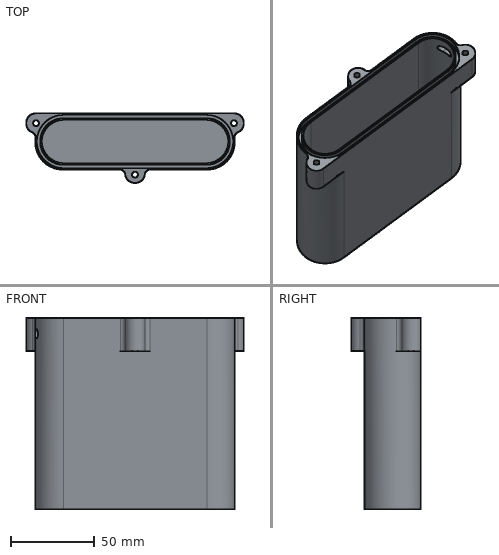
import cadquery as cq
import math

height = 115.0
body_depth = 34.0
body_width = 120.0
end_radius = body_depth / 2
end_center_x = body_width / 2 - end_radius
wall = 4.0
floor = wall

groove_inset = 1.0
groove_width = 2.0
groove_depth = 4.0

overall_width = 130.8
overall_depth = 42.0
lug_radius = 6.0
lug_height = 20.0
lug_blend = 3.0
screw_hole_diameter = 3.4
side_lug_x = overall_width / 2 - lug_radius
side_lug_y = end_radius - lug_radius
front_lug_y = end_radius - overall_depth + lug_radius
front_hole_offset = 0.9

slot_length = 10.0
slot_height = 5.2
slot_center_y = -2.6
slot_below_rim = 9.5


def stadium(inset, z_bottom, z_top):
    """Solid with the body section shrunk inward by inset."""
    return (
        cq.Workplane("XY", origin=(0, 0, z_bottom))
        .slot2D(body_width - 2 * inset, body_depth - 2 * inset)
        .extrude(z_top - z_bottom)
    )


def along(start, end, distance):
    """Point at the given distance from start toward end."""
    span = math.dist(start, end)
    return tuple(a + (b - a) * distance / span for a, b in zip(start, end))


def arc_middle(center, radius, first, second):
    """Middle of the shorter arc between two points on a circle."""
    chord_middle = tuple((a + b) / 2 for a, b in zip(first, second))
    return along(center, chord_middle, radius)


def lug_plane():
    return cq.Workplane("XY", origin=(0, 0, height - lug_height))


def side_lug():
    """Lug at the -X end, flush with the back and blended into the round end."""
    end_center = (-end_center_x, 0)
    lug_center = (-side_lug_x, side_lug_y)

    end_reach = end_radius + lug_blend
    lug_reach = lug_radius + lug_blend
    spacing = math.dist(end_center, lug_center)
    cosine = (end_reach**2 + spacing**2 - lug_reach**2) / (2 * end_reach * spacing)
    lug_angle = math.atan2(side_lug_y, end_center_x - side_lug_x)
    blend_angle = lug_angle + math.acos(cosine)
    blend_center = (
        end_center[0] + end_reach * math.cos(blend_angle),
        end_reach * math.sin(blend_angle),
    )
    on_lug = along(lug_center, blend_center, lug_radius)
    on_end = along(end_center, blend_center, end_radius)
    lug_back = (-side_lug_x, end_radius)
    return (
        lug_plane()
        .moveTo(-end_center_x, end_radius)
        .lineTo(*lug_back)
        .threePointArc((-side_lug_x - lug_radius, side_lug_y), on_lug)
        .threePointArc(arc_middle(blend_center, lug_blend, on_lug, on_end), on_end)
        .lineTo(*end_center)
        .close()
        .extrude(lug_height)
    )


def front_lug():
    """Lug in the middle of the front face, blended into it on both sides."""
    blend_y = -end_radius - lug_blend
    blend_x = math.sqrt((lug_radius + lug_blend) ** 2 - (blend_y - front_lug_y) ** 2)
    lug_center = (0, front_lug_y)
    left_blend = (-blend_x, blend_y)
    right_blend = (blend_x, blend_y)
    left_face = (-blend_x, -end_radius)
    right_face = (blend_x, -end_radius)
    left_lug = along(lug_center, left_blend, lug_radius)
    right_lug = along(lug_center, right_blend, lug_radius)
    root_y = -end_radius + wall / 2
    return (
        lug_plane()
        .moveTo(-blend_x, root_y)
        .lineTo(*left_face)
        .threePointArc(arc_middle(left_blend, lug_blend, left_face, left_lug), left_lug)
        .threePointArc((0, front_lug_y - lug_radius), right_lug)
        .threePointArc(arc_middle(right_blend, lug_blend, right_lug, right_face), right_face)
        .lineTo(blend_x, root_y)
        .close()
        .extrude(lug_height)
    )


def screw_holes():
    centers = [(-side_lug_x, side_lug_y), (side_lug_x, side_lug_y), (0, front_lug_y - front_hole_offset)]
    return lug_plane().pushPoints(centers).circle(screw_hole_diameter / 2).extrude(lug_height)


def seal_groove():
    bottom = height - groove_depth
    outer = stadium(groove_inset, bottom, height)
    return outer.cut(stadium(groove_inset + groove_width, bottom, height))


def cable_slot():
    return (
        cq.Workplane("YZ", origin=(-body_width / 2, slot_center_y, height - slot_below_rim))
        .slot2D(slot_length, slot_height)
        .extrude(end_radius)
    )


left_lug_solid = side_lug()
result = (
    stadium(0, 0, height)
    .union(left_lug_solid)
    .union(left_lug_solid.mirror("YZ"))
    .union(front_lug())
    .cut(stadium(wall, floor, height))
    .cut(seal_groove())
    .cut(screw_holes())
    .cut(cable_slot())
)